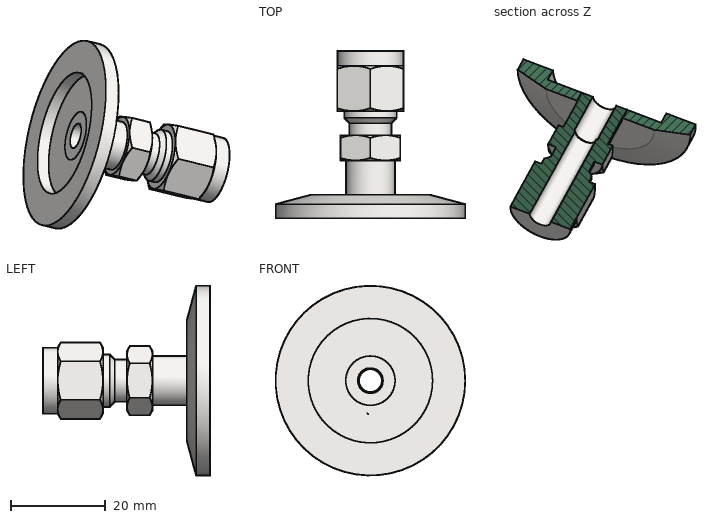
import cadquery as cq
import math


FLANGE_DIAMETER = 40.0
RIM_THICKNESS = 3.0
CONE_HEIGHT = 2.0
CONE_ANGLE = 15.0
RECESS_DIAMETER = 26.2
RECESS_DEPTH = 2.6

STEM_DIAMETER = 10.4
NECK_DIAMETER = 8.95
COLLAR_DIAMETER = 11.1
CAP_DIAMETER = 13.95
STEM_BORE_DIAMETER = 5.3
BORE_DIAMETER = 4.8

BODY_HEX_START = 12.15
BODY_HEX_END = 17.55
TAPER_START = 20.1
TAPER_LENGTH = (COLLAR_DIAMETER - NECK_DIAMETER) / 2
NUT_START = 22.55
NUT_END = 32.15
FITTING_END = 35.3

BODY_HEX_ACROSS_FLATS = 12.65
NUT_ACROSS_FLATS = 14.0
HEX_CHAMFER_ANGLE = 30.0
HEX_FACE_INSET = 0.1


def revolve_about_y(points):
    """Turn a closed (radius, y) outline about the Y axis."""
    return cq.Workplane("XY").polyline(points).close().revolve(360, (0, 0), (0, 1))


def cylinder(diameter, start, end):
    """Cylinder on the Y axis between two Y positions."""
    profile = cq.Workplane("XZ", origin=(0, start, 0)).circle(diameter / 2)
    return profile.extrude(start - end)


def chamfered_hex(across_flats, start, end):
    """Hexagonal prism with flats facing +X and -X and conical chamfers at both ends."""
    corner_radius = across_flats / math.sqrt(3)
    face_radius = across_flats / 2 - HEX_FACE_INSET
    chamfer = (corner_radius - face_radius) * math.tan(math.radians(HEX_CHAMFER_ANGLE))
    corners = []
    for i in range(6):
        angle = math.radians(90 + 60 * i)
        corners.append((corner_radius * math.cos(angle), corner_radius * math.sin(angle)))
    prism = cq.Workplane("XZ", origin=(0, start, 0)).polyline(corners).close().extrude(start - end)
    envelope = revolve_about_y([
        (0, start),
        (face_radius, start),
        (corner_radius, start + chamfer),
        (corner_radius, end - chamfer),
        (face_radius, end),
        (0, end),
    ])
    return prism.intersect(envelope)


def make_flange():
    """Vacuum flange with a conical back, a front recess and a hole for the stem."""
    rim_radius = FLANGE_DIAMETER / 2
    back_radius = rim_radius - CONE_HEIGHT / math.tan(math.radians(CONE_ANGLE))
    back = RIM_THICKNESS + CONE_HEIGHT
    disc = revolve_about_y([
        (0, 0),
        (rim_radius, 0),
        (rim_radius, RIM_THICKNESS),
        (back_radius, back),
        (0, back),
    ])
    recess = cylinder(RECESS_DIAMETER, 0, RECESS_DEPTH)
    stem_hole = cylinder(STEM_DIAMETER, 0, back)
    return disc.cut(recess).cut(stem_hole)


def make_fitting():
    """Tube fitting whose stem ends flush with the floor of the flange recess."""
    stem_radius = STEM_DIAMETER / 2
    neck_radius = NECK_DIAMETER / 2
    collar_radius = COLLAR_DIAMETER / 2
    cap_radius = CAP_DIAMETER / 2
    taper_end = TAPER_START + TAPER_LENGTH
    turned = revolve_about_y([
        (0, RECESS_DEPTH),
        (stem_radius, RECESS_DEPTH),
        (stem_radius, BODY_HEX_START),
        (neck_radius, BODY_HEX_START),
        (neck_radius, TAPER_START),
        (collar_radius, taper_end),
        (collar_radius, NUT_END),
        (cap_radius, NUT_END),
        (cap_radius, FITTING_END),
        (0, FITTING_END),
    ])
    body_hex = chamfered_hex(BODY_HEX_ACROSS_FLATS, BODY_HEX_START, BODY_HEX_END)
    nut = chamfered_hex(NUT_ACROSS_FLATS, NUT_START, NUT_END)
    stem_bore = cylinder(STEM_BORE_DIAMETER, RECESS_DEPTH, BODY_HEX_START)
    through_bore = cylinder(BORE_DIAMETER, RECESS_DEPTH, FITTING_END)
    return turned.union(body_hex).union(nut).cut(stem_bore).cut(through_bore)


flange = make_flange()
fitting = make_fitting()

result = cq.Compound.makeCompound([flange.val(), fitting.val()])